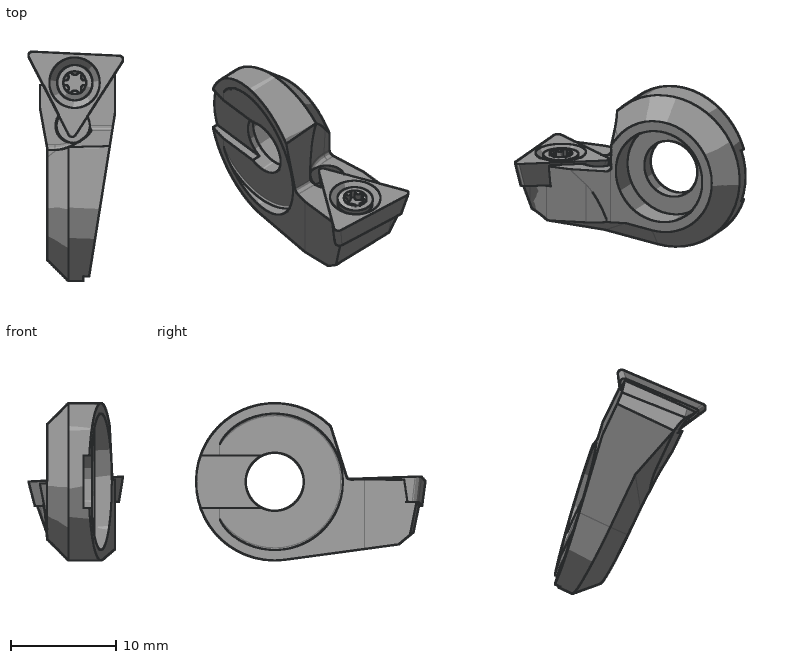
import cadquery as cq
import math


ring_radius = 7.5
ring_chamfer = 2.0
left_bore_radius = 4.5
left_bore_depth = 2.75
through_radius = 2.75
right_recess_radius = 6.5
right_recess_floor = 4.28
recess_corner_radius = 0.2
slot_width = 5.0
slot_floor = 3.43
back_offset = 5.11
back_angle = 9.0
upper_tangent_angle = 38.6
upper_tangent_length = 2.18

arm_right = 6.47
arm_left = -2.62
arm_top = 0.87
bottom_angle = 7.7
heel_y = 11.8
toe_y = 13.22
heel_toe_rise = 1.18
front_angle = 11.5
flank_start_y = 5.07
flank_angle = 10.2

relief_x = -0.75
relief_slope = 0.2
relief_forward = 0.087
relief_rear_start = 7.3
relief_rear_reach = 2.3
relief_rear_radius = 8.75
relief_front_start = 11.4
relief_front_radius = 3.39
relief_end_y = 15.73
relief_depth = 9.83

facet_point = (2.03, 6.34, -6.69)
facet_slope_x = 0.7
facet_slope_y = 0.069

insert_x, insert_y, insert_z = 2.6, 11.38, 0.26
insert_turn = -2.7
seat_tilt = 3.0
inscribed_radius = 2.77
nose_radius = 0.4
insert_thickness = 2.38
relief_angle = 7.0
countersink_radius = 2.4
countersink_angle = 45.0

deck_depth = 0.26
wall_end_y = 11.17
tip_pocket_x, tip_pocket_y = 2.4, 7.3
tip_pocket_radius = 1.64
wall_y = 4.98
wall_arc_start = (0.75, 4.98)
wall_arc_end = (4.24, 6.85)
lean_foot_y = 6.95
lean_angle = 17.5
wall_fillet = 0.5

head_radius = 1.68
head_edge_depth = 0.17
head_crown = 0.09
shank_radius = 1.25
shank_engagement = 1.97
socket_radius = 1.1
socket_depth = 0.87
socket_chamfer = 0.13
lobes = 6
flute_radius = 0.35

far = 17.48


def sin(angle):
    return math.sin(math.radians(angle))


def cos(angle):
    return math.cos(math.radians(angle))


def tan(angle):
    return math.tan(math.radians(angle))


def half_space(point, normal):
    """Block that fills everything near the part on the normal side of a plane."""
    plane = cq.Plane(origin=point, normal=normal)
    return cq.Workplane(plane).rect(4 * far, 4 * far).extrude(2 * far)


def on_seat(local):
    """Move a shape built around the screw axis, insert top at Z = 0, onto the tilted seat."""
    normal = (-sin(seat_tilt), 0, cos(seat_tilt))
    along = (cos(seat_tilt), 0, sin(seat_tilt))
    frame = cq.Plane(origin=(insert_x, insert_y, insert_z), xDir=along, normal=normal)
    return cq.Workplane(local.val().moved(frame.location))



def insert_blank():
    """Triangular insert without its hole, tapered by the relief angle, in seat coordinates."""
    corner_circle = 4 * inscribed_radius
    blank = (
        cq.Workplane("XY")
        .polygon(3, corner_circle)
        .extrude(-insert_thickness, taper=relief_angle)
        .edges("not #Z")
        .fillet(nose_radius)
    )
    return blank.rotate((0, 0, 0), (0, 0, 1), 30 + insert_turn)


def turned(points):
    """Body turned about the screw axis from (radius, height) points, in seat coordinates."""
    return cq.Workplane("XZ").polyline(points).close().revolve(360, (0, 0), (0, 1))


def countersink_height(radius):
    return (radius - countersink_radius) / tan(countersink_angle)


def make_insert():
    hole = turned([
        (0, 0),
        (countersink_radius, 0),
        (shank_radius, countersink_height(shank_radius)),
        (shank_radius, -insert_thickness),
        (0, -insert_thickness),
    ])
    return on_seat(insert_blank().cut(hole))


def socket():
    """Six-lobed driving socket with a chamfered mouth."""
    mouth = head_crown - head_edge_depth
    star = cq.Workplane("XY").workplane(offset=mouth).circle(socket_radius).extrude(-socket_depth)
    flutes = (
        cq.Workplane("XY")
        .workplane(offset=mouth)
        .polarArray(socket_radius, 30, 360, lobes)
        .circle(flute_radius)
        .extrude(-socket_depth)
    )
    chamfer = turned([
        (0, mouth),
        (socket_radius, mouth),
        (socket_radius - flute_radius, mouth - socket_chamfer),
        (0, mouth - socket_chamfer),
    ])
    return star.cut(flutes).union(chamfer)


def make_screw():
    crown = head_crown - head_edge_depth
    tip = -insert_thickness - shank_engagement
    body = turned([
        (0, crown),
        (socket_radius, crown),
        (head_radius, -head_edge_depth),
        (head_radius, countersink_height(head_radius)),
        (shank_radius, countersink_height(shank_radius)),
        (shank_radius, tip),
        (0, tip),
    ])
    return on_seat(body.cut(socket()))



def ring_blank():
    profile = [
        (0, 0),
        (0, ring_radius - ring_chamfer),
        (ring_chamfer, ring_radius),
        (far, ring_radius),
        (far, 0),
    ]
    return cq.Workplane("XY").polyline(profile).close().revolve(360, (0, 0), (1, 0))


def upper_shoulder():
    """Chamfered flat that leaves the ring tangentially above the seat."""
    block = (
        cq.Workplane("XY")
        .box(far, upper_tangent_length, ring_radius, centered=False)
        .edges("<X and >Z")
        .chamfer(ring_chamfer)
    )
    return block.rotate((0, 0, 0), (1, 0, 0), upper_tangent_angle - 90)


def arm_blank():
    """Arm outline seen along X, tangent to the ring at its bottom."""
    tangent_y = ring_radius * sin(bottom_angle)
    tangent_z = -ring_radius * cos(bottom_angle)
    heel_z = tangent_z + (heel_y - tangent_y) * tan(bottom_angle)
    toe_z = heel_z + heel_toe_rise
    outline = [
        (0, 0),
        (tangent_y, tangent_z),
        (heel_y, heel_z),
        (toe_y, toe_z),
        (toe_y + (arm_top - toe_z) * tan(front_angle), arm_top),
        (0, arm_top),
    ]
    arm = (
        cq.Workplane("YZ")
        .workplane(offset=arm_left)
        .polyline(outline)
        .close()
        .extrude(arm_right - arm_left)
    )
    lower_chamfer = half_space(
        (0, 0, (ring_chamfer - ring_radius) / cos(bottom_angle)),
        (-1, sin(bottom_angle), -cos(bottom_angle)),
    )
    underside_facet = half_space(facet_point, (-facet_slope_x, -facet_slope_y, -1))
    skewed_front = half_space(
        (0, toe_y, toe_z),
        (-sin(insert_turn), cos(insert_turn), -tan(front_angle)),
    )
    lower_trim = lower_chamfer.intersect(underside_facet)
    return arm.cut(lower_trim).cut(skewed_front).cut(relief_cutter())


def relief_cutter():
    """Clearance on the left of the arm: a plan outline swept down, inwards and forwards."""
    start_y = relief_rear_start - relief_rear_reach
    turn = math.degrees(math.asin(relief_rear_reach / relief_rear_radius))
    rear_end = (relief_x - relief_rear_radius * (1 - cos(turn)), start_y)
    rear_middle = (
        relief_x - relief_rear_radius * (1 - cos(turn / 2)),
        relief_rear_start - relief_rear_radius * sin(turn / 2),
    )
    edge = 30 + insert_turn
    front_end = (
        relief_x - relief_front_radius * (1 - cos(edge)),
        relief_front_start + relief_front_radius * sin(edge),
    )
    front_middle = (
        relief_x - relief_front_radius * (1 - cos(edge / 2)),
        relief_front_start + relief_front_radius * sin(edge / 2),
    )
    straight_end_x = front_end[0] - (relief_end_y - front_end[1]) * tan(edge)
    wire = (
        cq.Workplane("XY")
        .moveTo(-far, start_y)
        .lineTo(*rear_end)
        .threePointArc(rear_middle, (relief_x, relief_rear_start))
        .lineTo(relief_x, relief_front_start)
        .threePointArc(front_middle, front_end)
        .lineTo(straight_end_x, relief_end_y)
        .lineTo(-far, relief_end_y)
        .close()
        .wire()
        .val()
    )
    sweep = cq.Vector(relief_slope, relief_forward, -1) * relief_depth
    return cq.Workplane(cq.Solid.extrudeLinear(wire, [], sweep))


def plan_blank():
    """Plan outline of the whole holder: left flank, right side and slanted back face."""
    right_bend_y = (arm_right - back_offset) / tan(back_angle)
    outline = [
        (0, -far),
        (0, flank_start_y),
        (-(far - flank_start_y) * tan(flank_angle), far),
        (arm_right, far),
        (arm_right, right_bend_y),
        (back_offset - far * tan(back_angle), -far),
    ]
    return cq.Workplane("XY").workplane(offset=-far).polyline(outline).close().extrude(2 * far)


def ring_bores():
    """Left counterbore, through hole, right recess and the slot that opens the recess."""
    def bore(radius, start, end):
        return cq.Workplane("YZ").workplane(offset=start).circle(radius).extrude(end - start)

    recess = bore(right_recess_radius, right_recess_floor, far).faces("<X").edges().fillet(recess_corner_radius)
    slot = cq.Workplane("XY").box(far, far, slot_width, centered=(False, True, True))
    slot = slot.translate((slot_floor, -far / 2, 0))
    return (
        bore(left_bore_radius, 0, left_bore_depth)
        .union(bore(through_radius, 0, far))
        .union(recess)
        .union(slot)
    )


def seat_point(point):
    """Plan point of the part expressed from the screw axis."""
    return (point[0] - insert_x, point[1] - insert_y)


def deck_clearance():
    """Space above the deck, closed by a curved upright wall and by a leaning wall."""
    upright = (
        cq.Workplane("XY")
        .workplane(offset=-deck_depth)
        .moveTo(-far, wall_y - insert_y)
        .lineTo(*seat_point(wall_arc_start))
        .tangentArcPoint(seat_point(wall_arc_end), relative=False)
        .lineTo(seat_point(wall_arc_end)[0], far)
        .lineTo(-far, far)
        .close()
        .extrude(far)
    )
    upright = upright.edges("<Z").edges("<Y").fillet(wall_fillet)
    lean_rise = far / 2
    leaning = (
        cq.Workplane("YZ")
        .workplane(offset=-far / 2)
        .polyline([
            (far, -deck_depth),
            (lean_foot_y - insert_y, -deck_depth),
            (lean_foot_y - insert_y - lean_rise * tan(lean_angle), lean_rise - deck_depth),
            (far, lean_rise - deck_depth),
        ])
        .close()
        .extrude(far)
        .edges("|X and <Z")
        .edges("<Y")
        .fillet(wall_fillet)
    )
    return upright.union(leaning)


def seat_cutter():
    """Everything removed from the holder around the insert, in seat coordinates."""
    open_front = (
        cq.Workplane("XY")
        .workplane(offset=-insert_thickness)
        .box(far, far, insert_thickness, centered=False)
        .translate((-far, wall_end_y - insert_y, 0))
    )
    tip_pocket = (
        cq.Workplane("XY")
        .workplane(offset=-insert_thickness)
        .center(*seat_point((tip_pocket_x, tip_pocket_y)))
        .circle(tip_pocket_radius)
        .extrude(insert_thickness)
    )
    screw_hole = (
        cq.Workplane("XY")
        .workplane(offset=-insert_thickness)
        .circle(shank_radius)
        .extrude(-shank_engagement)
    )
    return (
        deck_clearance().union(insert_blank()).union(open_front).union(tip_pocket).union(screw_hole)
    )


def make_holder():
    blank = ring_blank().union(upper_shoulder()).union(arm_blank()).intersect(plan_blank())
    return blank.cut(ring_bores()).cut(on_seat(seat_cutter()))


holder = make_holder()
insert = make_insert()
screw = make_screw()

result = cq.Compound.makeCompound([holder.val(), insert.val(), screw.val()])